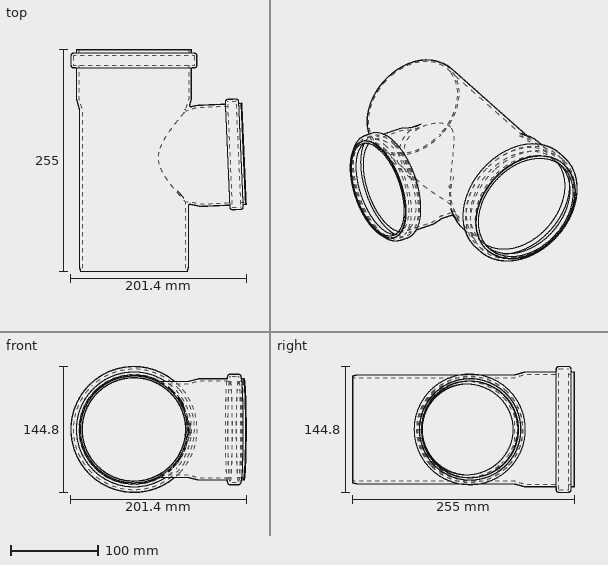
import cadquery as cq
import math

RUN_LENGTH = 255.0
SPIGOT_LENGTH = 129.5
RUN = {
    "start": -SPIGOT_LENGTH,
    "mouth": RUN_LENGTH - SPIGOT_LENGTH,
    "wall": 3.0,
    "pipe_diameter": 125.3,
    "pipe_bore": 118.5,
    "socket_bore": 126.0,
    "groove_diameter": 138.8,
    "rim_bore": 126.2,
    "socket_depth": 57.2,
    "lip_length": 4.2,
    "ring_length": 17.2,
    "ring_round": 3.2,
}
BRANCH = {
    "start": 0.0,
    "mouth": 126.56,
    "wall": 2.7,
    "pipe_diameter": 110.4,
    "pipe_bore": 104.4,
    "socket_bore": 111.0,
    "groove_diameter": 121.8,
    "rim_bore": 111.2,
    "socket_depth": 52.4,
    "lip_length": 3.7,
    "ring_length": 15.2,
    "ring_round": 3.0,
}
BRANCH_LEAN = 2.5

TAPER_LENGTH = 12.0
RING_ROOT_ROUND = 1.0
RIM_LENGTH = 1.0
SPIGOT_CHAMFER_LENGTH = 5.0
SPIGOT_CHAMFER_ANGLE = 15.0
JUNCTION_FILLET = 1.5


def revolve_about_y(profile):
    return profile.revolve(360, (0, 0, 0), (0, 1, 0))


def outer_body(pipe):
    """Filled outside shape along Y: pipe, taper, socket, rounded seal ring, lip and rim."""
    wall = pipe["wall"]
    start = pipe["start"]
    mouth = pipe["mouth"]
    pipe_r = pipe["pipe_diameter"] / 2
    socket_r = pipe["socket_bore"] / 2 + wall
    ring_r = pipe["groove_diameter"] / 2 + wall
    rim_r = pipe["rim_bore"] / 2 + wall
    taper_end = mouth - pipe["socket_depth"]
    ring_top = mouth - pipe["lip_length"]
    ring_bottom = ring_top - pipe["ring_length"]
    ring_round = pipe["ring_round"]
    root = RING_ROOT_ROUND
    profile = (
        cq.Workplane("XY")
        .moveTo(0, start)
        .lineTo(pipe_r, start)
        .lineTo(pipe_r, taper_end - TAPER_LENGTH)
        .lineTo(socket_r, taper_end)
        .lineTo(socket_r, ring_bottom - root)
        .radiusArc((socket_r + root, ring_bottom), root)
        .lineTo(ring_r - ring_round, ring_bottom)
        .radiusArc((ring_r, ring_bottom + ring_round), -ring_round)
        .lineTo(ring_r, ring_top - ring_round)
        .radiusArc((ring_r - ring_round, ring_top), -ring_round)
        .lineTo(socket_r + root, ring_top)
        .radiusArc((socket_r, ring_top + root), root)
        .lineTo(socket_r, mouth - RIM_LENGTH)
        .lineTo(rim_r, mouth - RIM_LENGTH)
        .lineTo(rim_r, mouth)
        .lineTo(0, mouth)
        .close()
    )
    return revolve_about_y(profile)


def inner_cavity(pipe):
    """Filled inside space along Y: pipe bore, taper, socket bore, seal groove and mouth."""
    start = pipe["start"]
    mouth = pipe["mouth"]
    bore_r = pipe["pipe_bore"] / 2
    socket_r = pipe["socket_bore"] / 2
    groove_r = pipe["groove_diameter"] / 2
    rim_r = pipe["rim_bore"] / 2
    taper_end = mouth - pipe["socket_depth"]
    ring_top = mouth - pipe["lip_length"]
    groove_top = ring_top - pipe["wall"]
    groove_bottom = ring_top - pipe["ring_length"] + pipe["wall"]
    profile = (
        cq.Workplane("XY")
        .moveTo(0, start)
        .lineTo(bore_r, start)
        .lineTo(bore_r, taper_end - TAPER_LENGTH)
        .lineTo(socket_r, taper_end)
        .lineTo(socket_r, groove_bottom)
        .lineTo(groove_r, groove_bottom)
        .lineTo(groove_r, groove_top)
        .lineTo(rim_r, groove_top)
        .lineTo(rim_r, mouth)
        .lineTo(0, mouth)
        .close()
    )
    return revolve_about_y(profile)


def spigot_chamfer():
    """Ring of material to remove around the spigot end for its tapered lead-in."""
    start = RUN["start"]
    pipe_r = RUN["pipe_diameter"] / 2
    inset = SPIGOT_CHAMFER_LENGTH * math.tan(math.radians(SPIGOT_CHAMFER_ANGLE))
    profile = (
        cq.Workplane("XY")
        .moveTo(pipe_r - inset, start)
        .lineTo(pipe_r, start)
        .lineTo(pipe_r, start + SPIGOT_CHAMFER_LENGTH)
        .close()
    )
    return revolve_about_y(profile)


def aim_branch(body):
    """Turn a body built along +Y onto the leaning branch axis."""
    return body.rotate((0, 0, 0), (0, 0, 1), BRANCH_LEAN - 90)


run_outer = outer_body(RUN).cut(spigot_chamfer())
branch_outer = aim_branch(outer_body(BRANCH))

outside = run_outer.union(branch_outer)
outside = outside.edges("%BSPLINE").fillet(JUNCTION_FILLET)

result = outside.cut(inner_cavity(RUN)).cut(aim_branch(inner_cavity(BRANCH)))